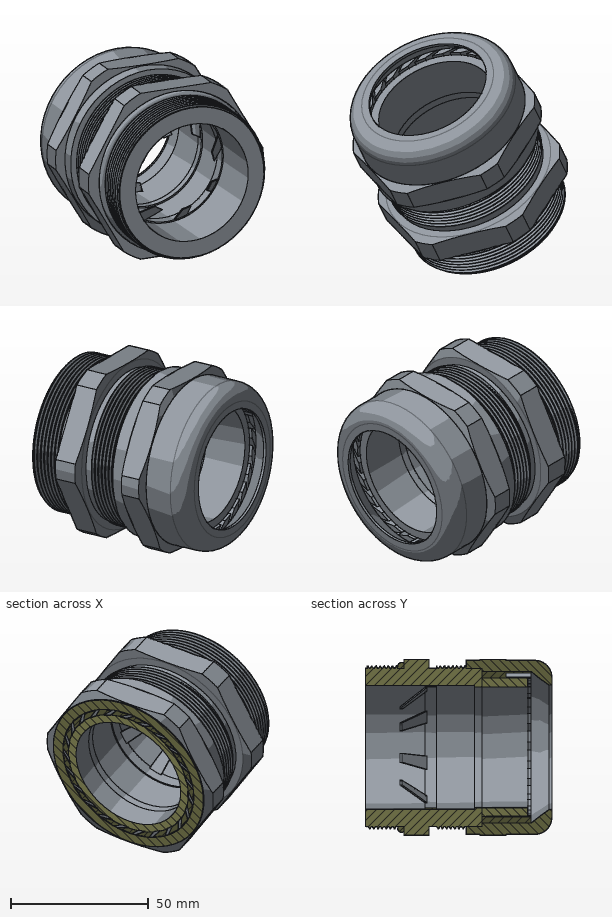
import cadquery as cq
import math

LENGTH = 67.8

ACROSS_FLATS = 64.0
ACROSS_CORNERS = 69.95
CHAMFER_START_RADIUS = 31.75

SHANK_RADIUS = 28.8
BODY_FRONT = 25.4
SEAT_BORE_RADIUS = 21.93
SEAT_LENGTH = 2.8
BODY_BORE_RADIUS = 22.49
BODY_HEX_FRONT = 44.6
BODY_HEX_BACK = 53.9
BODY_HEX_CHAMFER = 0.8

THREAD_CREST_RADIUS = 29.65
THREAD_PITCH = 10.5 / 7
THREAD_FLANK_ANGLE = math.radians(30)
THREAD_CREST_WIDTH = 0.2
THREAD_ROOT_OVERLAP = 0.2
CAP_THREAD_END = 42.05
ENTRY_THREAD_END = 67.15

CAP_RADIUS = 31.7
CAP_LENGTH = 31.2
CAP_EDGE_RADIUS = 6.3
CAP_HOLE_RADIUS = 22.6
CAP_LIP = 1.05
CAP_HEX_FRONT = 16.7
CAP_HEX_BACK = 26.25
CAP_HEX_FRONT_CHAMFER = 1.1
CAP_HEX_BACK_CHAMFER = 1.0

CAGE_FRONT = 7.55
CAGE_OUTER_RADIUS = 27.5
SEAL_FRONT = 8.75
SEAL_OUTER_RADIUS = 25.15
LAMELLA_COUNT = 23
LAMELLA_LENGTH = 9.1
FIRST_SLOT_ANGLE = -42.0
SLOT_INNER_ANGLE = 7.2
SLOT_OUTER_ANGLE = 3.0
SLOT_SKEW_ANGLE = 11.0
SLOT_OVERCUT = 0.35

O_RING_SECTION_RADIUS = 1.5
O_RING_SECTION_X = 54.65
O_RING_OUTER_RADIUS = 30.9

SHEET_THICKNESS = 0.5
BAND_FRONT = 42.0
BAND_LENGTH = 4.2
FINGER_COUNT = 8
FINGER_ANGLE = 13.0
FIRST_FINGER_ANGLE = 14.8
FINGER_TIP_RADIUS = 14.9
FINGER_SLOPE = math.radians(38)


def revolved(profile, angle=360.0):
    """Solid swept by a closed (x, radius) profile around the X axis, starting from the +Y side."""
    return profile.close().revolve(angle, (0, 0, 0), (1, 0, 0))


def outline(points):
    return cq.Workplane("XY").polyline(points)


def tube(front, back, inner_radius, outer_radius):
    return revolved(outline([
        (front, inner_radius), (back, inner_radius), (back, outer_radius), (front, outer_radius)]))


def chamfered_hexagon(front, back, front_chamfer, back_chamfer):
    """Hexagon with flats towards +Z and -Z, its corners rounded and its end corners coned off."""
    corner_radius = ACROSS_CORNERS / 2
    prism = (
        cq.Workplane("YZ", origin=(front, 0, 0))
        .polygon(6, ACROSS_FLATS / math.cos(math.pi / 6))
        .extrude(back - front)
    )
    front_radius = CHAMFER_START_RADIUS if front_chamfer else corner_radius
    back_radius = CHAMFER_START_RADIUS if back_chamfer else corner_radius
    envelope_points = [(front, 0), (front, front_radius)]
    if front_chamfer:
        envelope_points.append((front + front_chamfer, corner_radius))
    if back_chamfer:
        envelope_points.append((back - back_chamfer, corner_radius))
    envelope_points += [(back, back_radius), (back, 0)]
    return prism.intersect(revolved(outline(envelope_points)))


def thread_ridge(start, end):
    """Right-handed helical ridge on the shank, cut off square at both ends."""
    height = THREAD_CREST_RADIUS - SHANK_RADIUS + THREAD_ROOT_OVERLAP
    crest_half = THREAD_CREST_WIDTH / 2
    root_half = crest_half + height * math.tan(THREAD_FLANK_ANGLE)
    root_radius = THREAD_CREST_RADIUS - height
    turns = math.ceil((end - start) / THREAD_PITCH)
    helix = cq.Wire.makeHelix(THREAD_PITCH, turns * THREAD_PITCH, root_radius)
    ridge = (
        cq.Workplane("XZ")
        .polyline([
            (root_radius, -root_half), (THREAD_CREST_RADIUS, -crest_half),
            (THREAD_CREST_RADIUS, crest_half), (root_radius, root_half)])
        .close()
        .sweep(cq.Workplane(helix), isFrenet=True)
        .rotate((0, 0, 0), (0, 1, 0), 90)
        .rotate((0, 0, 0), (1, 0, 0), 90)
        .translate((start, 0, 0))
    )
    return ridge.intersect(tube(start, end, root_radius - 0.7, THREAD_CREST_RADIUS + 0.7))


def make_body():
    seat_end = BODY_FRONT + SEAT_LENGTH
    shank = revolved(outline([
        (BODY_FRONT, SEAT_BORE_RADIUS),
        (seat_end, SEAT_BORE_RADIUS),
        (seat_end, BODY_BORE_RADIUS),
        (LENGTH, BODY_BORE_RADIUS),
        (LENGTH, SHANK_RADIUS),
        (BODY_FRONT, SHANK_RADIUS),
    ]))
    hexagon = chamfered_hexagon(BODY_HEX_FRONT, BODY_HEX_BACK, BODY_HEX_CHAMFER, 0)
    bore = tube(BODY_HEX_FRONT, BODY_HEX_BACK, 0, SHANK_RADIUS - 0.7)
    body = shank.union(hexagon.cut(bore))
    body = body.union(thread_ridge(CAP_LENGTH, CAP_THREAD_END))
    return body.union(thread_ridge(O_RING_SECTION_X + O_RING_SECTION_RADIUS, ENTRY_THREAD_END))


def make_cap_nut():
    arc_offset = CAP_EDGE_RADIUS * (1 - math.sqrt(0.5))
    shell = revolved(
        cq.Workplane("XY")
        .moveTo(0, 0)
        .lineTo(0, CAP_RADIUS - CAP_EDGE_RADIUS)
        .threePointArc((arc_offset, CAP_RADIUS - arc_offset), (CAP_EDGE_RADIUS, CAP_RADIUS))
        .lineTo(CAP_LENGTH, CAP_RADIUS)
        .lineTo(CAP_LENGTH, 0)
    )
    hexagon = chamfered_hexagon(CAP_HEX_FRONT, CAP_HEX_BACK, CAP_HEX_FRONT_CHAMFER, CAP_HEX_BACK_CHAMFER)
    cavity = revolved(outline([
        (0, 0),
        (0, CAP_HOLE_RADIUS),
        (CAP_LIP, CAP_HOLE_RADIUS),
        (CAGE_FRONT, CAGE_OUTER_RADIUS),
        (BODY_FRONT, CAGE_OUTER_RADIUS),
        (BODY_FRONT, SHANK_RADIUS),
        (CAP_LENGTH, SHANK_RADIUS),
        (CAP_LENGTH, 0),
    ]))
    return shell.union(hexagon).cut(cavity)


def polar_point(radius, angle):
    """(y, z) at a radius, the angle in degrees turning from +Y towards +Z."""
    return radius * math.cos(math.radians(angle)), radius * math.sin(math.radians(angle))


def make_cage():
    """Sleeve around the seal, its front split into lamellae by skewed slots that narrow outwards."""
    inner_radius = SEAL_OUTER_RADIUS - SLOT_OVERCUT
    outer_radius = CAGE_OUTER_RADIUS + SLOT_OVERCUT
    slot = (
        cq.Workplane("YZ", origin=(CAGE_FRONT, 0, 0))
        .polyline([
            polar_point(inner_radius, -SLOT_INNER_ANGLE / 2),
            polar_point(outer_radius, SLOT_SKEW_ANGLE - SLOT_OUTER_ANGLE / 2),
            polar_point(outer_radius, SLOT_SKEW_ANGLE + SLOT_OUTER_ANGLE / 2),
            polar_point(inner_radius, SLOT_INNER_ANGLE / 2),
        ])
        .close()
        .extrude(LAMELLA_LENGTH)
    )
    cage = tube(CAGE_FRONT, BODY_FRONT, SEAL_OUTER_RADIUS, CAGE_OUTER_RADIUS)
    for index in range(LAMELLA_COUNT):
        turn = FIRST_SLOT_ANGLE + index * 360 / LAMELLA_COUNT
        cage = cage.cut(slot.rotate((0, 0, 0), (1, 0, 0), turn))
    return cage


def make_seal():
    return tube(SEAL_FRONT, BODY_FRONT, SEAT_BORE_RADIUS, SEAL_OUTER_RADIUS)


def make_o_ring():
    section_centre = O_RING_OUTER_RADIUS - O_RING_SECTION_RADIUS
    back = O_RING_SECTION_X + O_RING_SECTION_RADIUS
    front_rise = math.sqrt(O_RING_SECTION_RADIUS**2 - (O_RING_SECTION_X - BODY_HEX_BACK)**2)
    return revolved(
        cq.Workplane("XY")
        .moveTo(BODY_HEX_BACK, SHANK_RADIUS)
        .lineTo(BODY_HEX_BACK, section_centre + front_rise)
        .threePointArc((O_RING_SECTION_X, O_RING_OUTER_RADIUS), (back, section_centre))
        .lineTo(back, SHANK_RADIUS)
    )


def make_contact_ring():
    """Thin band lining the body bore, with conical spring fingers leaning inwards."""
    band_inner = BODY_BORE_RADIUS - SHEET_THICKNESS
    band_end = BAND_FRONT + BAND_LENGTH
    axial_thickness = SHEET_THICKNESS / math.sin(FINGER_SLOPE)
    finger_run = (band_inner - FINGER_TIP_RADIUS) / math.tan(FINGER_SLOPE)
    root = band_end - axial_thickness
    tip = root + finger_run
    finger = revolved(outline([
        (root, band_inner),
        (tip, FINGER_TIP_RADIUS),
        (tip + axial_thickness, FINGER_TIP_RADIUS),
        (band_end, band_inner),
        (band_end, BODY_BORE_RADIUS),
        (root, BODY_BORE_RADIUS),
    ]), FINGER_ANGLE)
    ring = tube(BAND_FRONT, band_end, band_inner, BODY_BORE_RADIUS)
    for index in range(FINGER_COUNT):
        turn = FIRST_FINGER_ANGLE - FINGER_ANGLE / 2 + index * 360 / FINGER_COUNT
        ring = ring.union(finger.rotate((0, 0, 0), (1, 0, 0), turn))
    return ring


body = make_body()
cap_nut = make_cap_nut()
cage = make_cage()
seal = make_seal()
o_ring = make_o_ring()
contact_ring = make_contact_ring()

result = cq.Compound.makeCompound([
    body.val(),
    cap_nut.val(),
    cage.val(),
    seal.val(),
    o_ring.val(),
    contact_ring.val(),
])